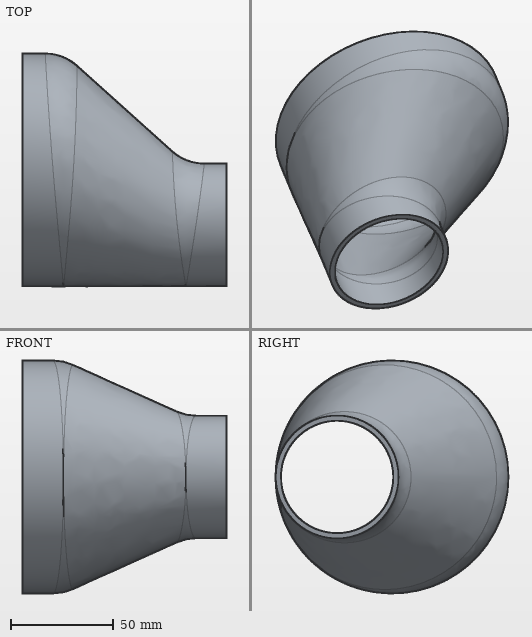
import cadquery as cq

LENGTH = 100.0
LARGE_DIAMETER = 114.3
SMALL_DIAMETER = 60.3
WALL = 2.6

CONE_START = 20.0
CONE_END = 80.0
BEND_RADIUS = 23.4

FLUSH_SIDE_TAPER = 0.1
SMALL_AXIS_Y = (SMALL_DIAMETER - LARGE_DIAMETER) / 2 + FLUSH_SIDE_TAPER


def sharp_body():
    """Solid outer form of the reducer, with sharp edges between cone and pipes."""
    large_pipe = cq.Workplane("YZ").circle(LARGE_DIAMETER / 2).extrude(CONE_START)
    cone = (
        cq.Workplane("YZ", origin=(CONE_START, 0, 0))
        .circle(LARGE_DIAMETER / 2)
        .workplane(offset=CONE_END - CONE_START)
        .center(SMALL_AXIS_Y, 0)
        .circle(SMALL_DIAMETER / 2)
        .loft(ruled=True)
    )
    small_pipe = (
        cq.Workplane("YZ", origin=(CONE_END, SMALL_AXIS_Y, 0))
        .circle(SMALL_DIAMETER / 2)
        .extrude(LENGTH - CONE_END)
    )
    return large_pipe.union(cone).union(small_pipe)


def round_bend(body, bend_x):
    """Round the circular edge where a pipe end meets the cone at x = bend_x."""
    tolerance = 0.1
    reach = LARGE_DIAMETER
    bend_edge = cq.selectors.BoxSelector(
        (bend_x - tolerance, -reach, -reach),
        (bend_x + tolerance, reach, reach),
    )
    return body.edges(bend_edge).fillet(BEND_RADIUS)


def hollow_out(body):
    """Leave a wall of constant thickness, open at both pipe ends."""
    return body.faces("<X or >X").shell(-WALL)


body = sharp_body()
for bend_x in (CONE_START, CONE_END):
    body = round_bend(body, bend_x)
result = hollow_out(body)